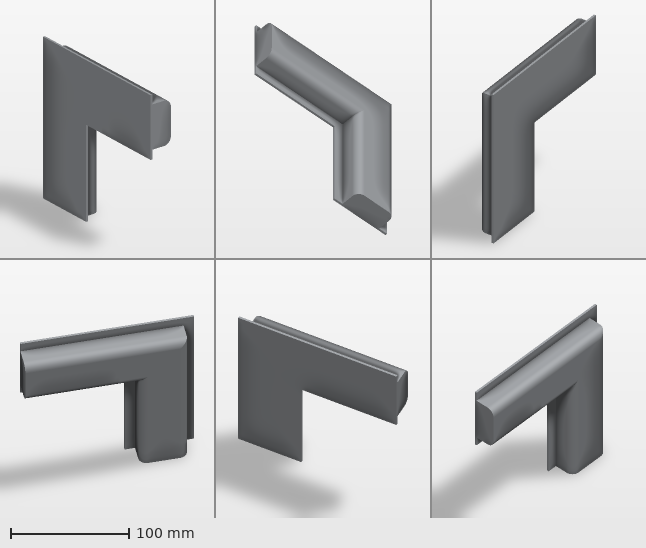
import cadquery as cq

leg_length = 150.0
leg_width = 60.0
total_depth = 21.5
plate_thickness = 2.0
flange_overhang = 9.0
edge_radius = 7.0


def corner_solid(inset, depth):
    """L-shaped solid along +Y, with its long sides moved in by inset."""
    outer_x = inset
    inner_x = leg_width - inset
    outer_z = leg_length - inset
    inner_z = leg_length - leg_width + inset
    outline = [
        (outer_x, 0),
        (inner_x, 0),
        (inner_x, inner_z),
        (leg_length, inner_z),
        (leg_length, outer_z),
        (outer_x, outer_z),
    ]
    return cq.Workplane("XZ").polyline(outline).close().extrude(-depth)


plate = corner_solid(0, plate_thickness)
body = corner_solid(flange_overhang, total_depth)

leg_ends = cq.selectors.BoxSelector(
    (leg_length - edge_radius, 0, 0),
    (leg_length + edge_radius, total_depth + edge_radius, leg_length),
) + cq.selectors.BoxSelector(
    (0, 0, -edge_radius),
    (leg_length, total_depth + edge_radius, edge_radius),
)
body = body.faces(">Y").edges(cq.selectors.SubtractSelector(cq.StringSyntaxSelector("|X or |Z"), leg_ends))
body = body.fillet(edge_radius)

result = plate.union(body)